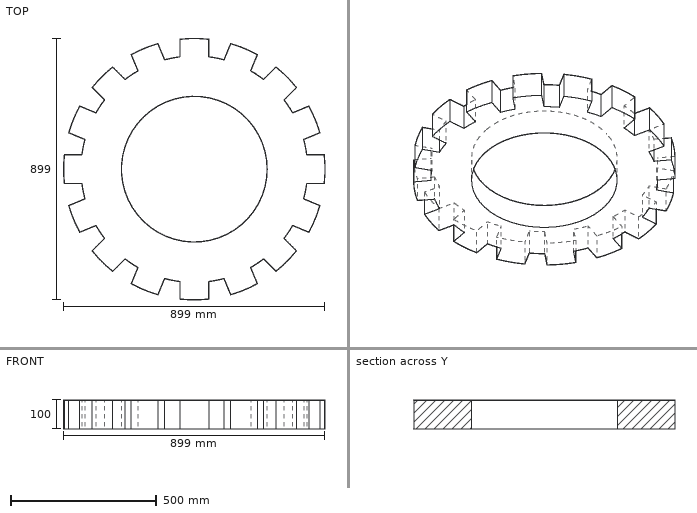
import cadquery as cq

outer_diameter = 899.0
root_diameter = 780.0
bore_diameter = 500.0
thickness = 100.0
tooth_width = 100.0
tooth_count = 16


def make_disc(diameter):
    """Solid disc of the ring's thickness, standing on the XY plane."""
    return cq.Workplane("XY").circle(diameter / 2).extrude(thickness)


def make_tooth_bars():
    """Parallel-sided bars across the full diameter, each giving two opposite teeth."""
    bar = cq.Workplane("XY").rect(outer_diameter, tooth_width).extrude(thickness)
    bars = bar
    for index in range(1, tooth_count // 2):
        angle = index * 360 / tooth_count
        bars = bars.union(bar.rotate((0, 0, 0), (0, 0, 1), angle))
    return bars


teeth = make_tooth_bars().intersect(make_disc(outer_diameter))
result = make_disc(root_diameter).union(teeth).cut(make_disc(bore_diameter))